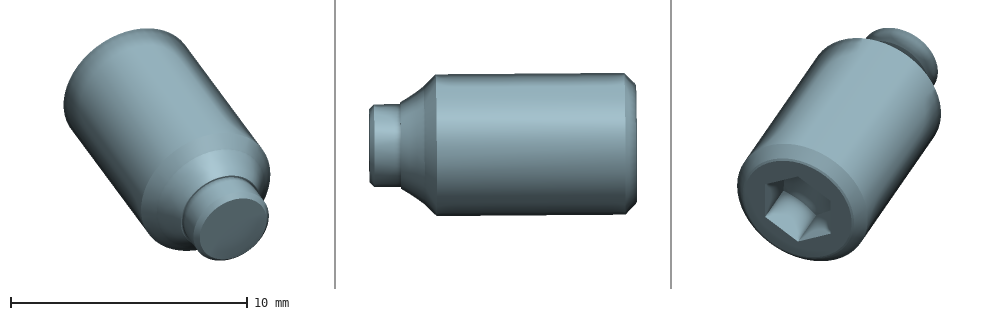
import cadquery as cq
import math

length = 11.3
body_radius = 6.0 / 2

face_radius = 2.46
rim_radius = 2.55
rim_depth = 0.05
chamfer_end = rim_depth + body_radius - rim_radius

body_end = 8.48
shoulder_end = 8.98
shoulder_radius = 2.5
neck_start = 9.98
neck_radius = 1.83
neck_arc_sag = 0.02
dog_radius = 1.75
dog_chamfer = 0.2

socket_across_flats = 3.01
socket_depth = 1.98
socket_cone_angle = 120.0


def make_body():
    """Revolve the outer profile about the X axis."""
    neck_length = neck_start - shoulder_end
    neck_drop = shoulder_radius - neck_radius
    neck_chord = math.hypot(neck_length, neck_drop)
    neck_middle = (
        (shoulder_end + neck_start) / 2 - neck_arc_sag * neck_drop / neck_chord,
        (shoulder_radius + neck_radius) / 2 - neck_arc_sag * neck_length / neck_chord,
    )
    profile = (
        cq.Workplane("XY")
        .lineTo(0, face_radius)
        .lineTo(rim_depth, rim_radius)
        .lineTo(chamfer_end, body_radius)
        .lineTo(body_end, body_radius)
        .lineTo(shoulder_end, shoulder_radius)
        .threePointArc(neck_middle, (neck_start, neck_radius))
        .lineTo(neck_start, dog_radius)
        .lineTo(length - dog_chamfer, dog_radius)
        .lineTo(length, dog_radius - dog_chamfer)
        .lineTo(length, 0)
        .close()
    )
    return profile.revolve(360, (0, 0, 0), (1, 0, 0))


def make_socket():
    """Hexagonal prism with corners on +Z and -Z, ended by a drill-point cone."""
    corner_radius = socket_across_flats / math.sqrt(3)
    corners = [
        (
            corner_radius * math.sin(math.radians(60 * i)),
            corner_radius * math.cos(math.radians(60 * i)),
        )
        for i in range(6)
    ]
    cone_depth = corner_radius / math.tan(math.radians(socket_cone_angle / 2))
    tip = socket_depth + cone_depth
    prism = cq.Workplane("YZ").polyline(corners).close().extrude(tip)
    drill_profile = [(0, 0), (0, corner_radius), (socket_depth, corner_radius), (tip, 0)]
    drill = cq.Workplane("XY").polyline(drill_profile).close().revolve(360, (0, 0, 0), (1, 0, 0))
    return prism.intersect(drill)


result = make_body().cut(make_socket())